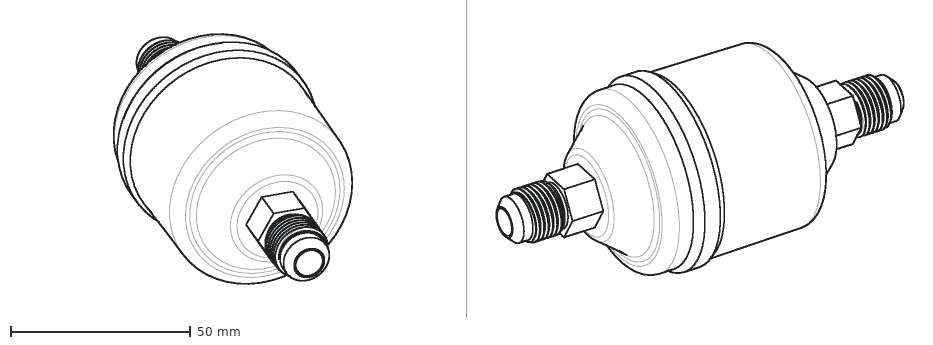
import cadquery as cq
import math

overall_length = 127.0
half_length = overall_length / 2
bore_diameter = 8.0

canister_radius = 54.0 / 2
canister_half_length = 36.9
shoulder_half_length = 26.4
shoulder_fillet = 3.5
cone_angle = math.radians(38.0)
cone_fillet = 2.1
cone_tip_radius = 13.0

flange_radius = 57.4 / 2
flange_ramp_start = -18.2
flange_start = -15.5
flange_end = -10.5
sleeve_start = -8.4
sleeve_start_radius = 27.4

hexagon_across_flats = 16.0
hexagon_length = 10.0
hexagon_end = canister_half_length + hexagon_length
spigot_radius = 13.6 / 2
spigot_tip_radius = 9.0 / 2
spigot_cone_length = spigot_radius - spigot_tip_radius

thread_radius = 15.88 / 2
thread_pitch = 25.4 / 18
thread_crest_width = thread_pitch / 8
thread_flank_angle = math.radians(30.0)
thread_depth = 0.866
thread_start = 47.9
thread_end = 58.3
thread_root_overlap = 0.1
end_cutter_radius = 10.0


def make_canister():
    """Revolve the canister outline, walking from the -X end to the +X end."""
    fillet_rise = cone_fillet * math.cos(cone_angle)
    fillet_run = cone_fillet * (1 - math.sin(cone_angle))
    mid_angle = (math.pi / 2 - cone_angle) / 2
    mid_rise = cone_fillet * math.sin(mid_angle)
    mid_run = cone_fillet * (1 - math.cos(mid_angle))

    tip_flat_radius = cone_tip_radius - cone_fillet * math.tan(mid_angle)
    cone_length = canister_half_length - shoulder_half_length
    cone_base_radius = cone_tip_radius + cone_length * math.tan(cone_angle)
    shoulder_flat_radius = cone_base_radius + cone_fillet * math.tan(mid_angle)

    shoulder_corner_rise = shoulder_fillet * math.sin(math.pi / 4)
    shoulder_corner_run = shoulder_fillet - shoulder_corner_rise
    shoulder_edge = shoulder_half_length - shoulder_fillet
    shoulder_fillet_radius = canister_radius - shoulder_fillet

    tip_flat = (canister_half_length, tip_flat_radius)
    tip_middle = (canister_half_length - mid_run, tip_flat_radius + mid_rise)
    cone_top = (canister_half_length - fillet_run, tip_flat_radius + fillet_rise)
    cone_bottom = (shoulder_half_length + fillet_run, shoulder_flat_radius - fillet_rise)
    valley_middle = (shoulder_half_length + mid_run, shoulder_flat_radius - mid_rise)
    shoulder_inner = (shoulder_half_length, shoulder_flat_radius)
    shoulder_outer = (shoulder_half_length, shoulder_fillet_radius)
    corner_middle = (
        shoulder_half_length - shoulder_corner_run,
        shoulder_fillet_radius + shoulder_corner_rise,
    )
    wall_end = (shoulder_edge, canister_radius)

    def left(point):
        return (-point[0], point[1])

    outline = (
        cq.Workplane("XY")
        .moveTo(-canister_half_length, 0)
        .lineTo(*left(tip_flat))
        .threePointArc(left(tip_middle), left(cone_top))
        .lineTo(*left(cone_bottom))
        .threePointArc(left(valley_middle), left(shoulder_inner))
        .lineTo(*left(shoulder_outer))
        .threePointArc(left(corner_middle), left(wall_end))
        .lineTo(flange_ramp_start, canister_radius)
        .lineTo(flange_start, flange_radius)
        .lineTo(flange_end, flange_radius)
        .lineTo(sleeve_start, sleeve_start_radius)
        .lineTo(*wall_end)
        .threePointArc(corner_middle, shoulder_outer)
        .lineTo(*shoulder_inner)
        .threePointArc(valley_middle, cone_bottom)
        .lineTo(*cone_top)
        .threePointArc(tip_middle, tip_flat)
        .lineTo(canister_half_length, 0)
        .close()
    )
    return outline.revolve(360, (0, 0, 0), (1, 0, 0))


def make_end_cutter():
    """Ring, axis on Z, that leaves a 45 degree chamfer on a thread starting at Z = 0."""
    ring_bottom = -2 * thread_pitch
    chamfer_height = end_cutter_radius - spigot_radius
    return (
        cq.Workplane("XZ")
        .moveTo(spigot_radius, 0)
        .lineTo(spigot_radius, ring_bottom)
        .lineTo(end_cutter_radius, ring_bottom)
        .lineTo(end_cutter_radius, chamfer_height)
        .close()
        .revolve(360, (0, 0, 0), (0, 1, 0))
    )


def make_thread():
    """Core with a helical ridge, built along Z, chamfered at both ends and laid along X."""
    thread_length = thread_end - thread_start
    core_radius = thread_radius - thread_depth
    core = cq.Workplane("XY").circle(core_radius).extrude(thread_length)

    half_crest = thread_crest_width / 2
    base_radius = core_radius - thread_root_overlap
    half_base = half_crest + (thread_radius - base_radius) * math.tan(thread_flank_angle)
    path = cq.Wire.makeHelix(thread_pitch, thread_length + 2 * thread_pitch, base_radius)
    ridge = (
        cq.Workplane("XZ")
        .moveTo(base_radius, -half_base)
        .lineTo(thread_radius, -half_crest)
        .lineTo(thread_radius, half_crest)
        .lineTo(base_radius, half_base)
        .close()
        .sweep(cq.Workplane(path), isFrenet=True)
        .translate((0, 0, -thread_pitch))
    )

    start_cutter = make_end_cutter()
    end_cutter = make_end_cutter().mirror("XY").translate((0, 0, thread_length))
    thread = core.union(ridge).cut(start_cutter).cut(end_cutter)
    return thread.rotate((0, 0, 0), (0, 1, 0), 90).translate((thread_start, 0, 0))


def make_fitting():
    """Hexagon, spigot with conical seat, and thread at the +X end."""
    hexagon = (
        cq.Workplane("YZ", origin=(canister_half_length, 0, 0))
        .polygon(6, hexagon_across_flats, circumscribed=True)
        .extrude(hexagon_length)
        .rotate((0, 0, 0), (1, 0, 0), 90)
    )
    spigot = (
        cq.Workplane("YZ", origin=(hexagon_end, 0, 0))
        .circle(spigot_radius)
        .extrude(half_length - hexagon_end)
        .faces(">X")
        .chamfer(spigot_cone_length)
    )
    return hexagon.union(spigot).union(make_thread())


def make_bore():
    """Flow passage through the whole part."""
    return (
        cq.Workplane("YZ", origin=(-half_length, 0, 0))
        .circle(bore_diameter / 2)
        .extrude(overall_length)
    )


fitting = make_fitting()
opposite_fitting = fitting.rotate((0, 0, 0), (0, 0, 1), 180)

result = make_canister().union(fitting).union(opposite_fitting).cut(make_bore())